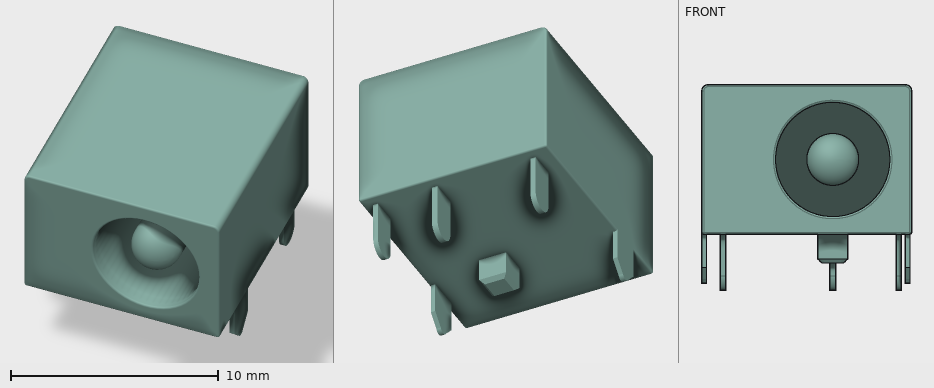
import cadquery as cq


body_width = 10.1
body_length = 11.6
body_height = 7.2
top_fillet = 0.3
edge_fillet = 0.1

socket_x = 1.25
socket_z = body_height / 2
socket_diameter = 5.5
socket_depth = 9.0
mouth_fillet = 0.1
pin_diameter = 2.5
pin_tip_recess = 0.25

terminals = [(-4.03, 0.28), (socket_x, 0.3), (4.425, 0.25)]
terminal_width = 1.4
terminal_length = 2.7
terminal_rear_gap = 0.6
terminal_y = body_length - terminal_rear_gap - terminal_width / 2

blade_thickness = 0.24
blade_left_x = (blade_thickness - body_width) / 2
blade_right_inset = 0.08
blade_right_x = -blade_left_x - blade_right_inset
blade_width = 1.75
blade_y = 3.05
blade_shoulder = 1.6
blade_length = 2.36
blade_tip_width = 0.56

peg_width = 1.45
peg_length = 1.38
peg_chamfer = 0.2
peg_rear_y = 4.725
peg_y = peg_rear_y - peg_width / 2

embed = 0.5


def housing():
    """Box with rounded long top edges and all other outer edges lightly rounded."""
    box = cq.Workplane("XY").box(body_width, body_length, body_height, centered=(True, False, False))
    box = box.edges("|Y and >Z").fillet(top_fillet)
    return box.faces("<Y or >Y or <Z").edges().fillet(edge_fillet)


def along_y(y):
    """Sketch plane facing the front, set at depth y and centred on the socket axis."""
    return cq.Workplane("XZ", origin=(socket_x, y, socket_z))


def bored_housing():
    """Housing with the blind round socket and its rounded mouth; the sketch normal points to -Y."""
    bore = along_y(0).circle(socket_diameter / 2).extrude(-socket_depth)
    return housing().cut(bore).faces("<Y").edges("%CIRCLE").fillet(mouth_fillet)


def centre_pin():
    """Contact pin with a hemispherical tip, standing on the socket floor."""
    radius = pin_diameter / 2
    tip_centre_y = pin_tip_recess + radius
    shank_length = socket_depth + embed - tip_centre_y
    shank = along_y(tip_centre_y).circle(radius).extrude(-shank_length)
    return shank.union(along_y(tip_centre_y).sphere(radius))


def plate_plane(x, y):
    """Sketch plane across X: local x runs along Y, local y along Z."""
    return cq.Workplane("YZ", origin=(x, y, 0))


def terminal(x, thickness):
    """Flat terminal with a fully rounded lower end."""
    radius = terminal_width / 2
    arc_z = radius - terminal_length
    return (
        plate_plane(x, terminal_y)
        .moveTo(-radius, embed)
        .lineTo(-radius, arc_z)
        .threePointArc((0, -terminal_length), (radius, arc_z))
        .lineTo(radius, embed)
        .close()
        .extrude(thickness / 2, both=True)
    )


def blade(x):
    """Flat blade narrowing at 45 degrees to a short arc at its tip."""
    half_width = blade_width / 2
    tip_half_width = blade_tip_width / 2
    tip_start_z = -blade_shoulder - (half_width - tip_half_width)
    return (
        plate_plane(x, blade_y)
        .moveTo(-half_width, embed)
        .lineTo(-half_width, -blade_shoulder)
        .lineTo(-tip_half_width, tip_start_z)
        .threePointArc((0, -blade_length), (tip_half_width, tip_start_z))
        .lineTo(half_width, -blade_shoulder)
        .lineTo(half_width, embed)
        .close()
        .extrude(blade_thickness / 2, both=True)
    )


def peg():
    """Square peg with a chamfered lower end, on the socket centre line in X."""
    block = cq.Workplane("XY", origin=(socket_x, peg_y, 0)).rect(peg_width, peg_width).extrude(-peg_length)
    return block.faces("<Z").chamfer(peg_chamfer)


result = bored_housing().union(centre_pin()).union(peg())
for terminal_x, terminal_thickness in terminals:
    result = result.union(terminal(terminal_x, terminal_thickness))
for blade_x in (blade_left_x, blade_right_x):
    result = result.union(blade(blade_x))